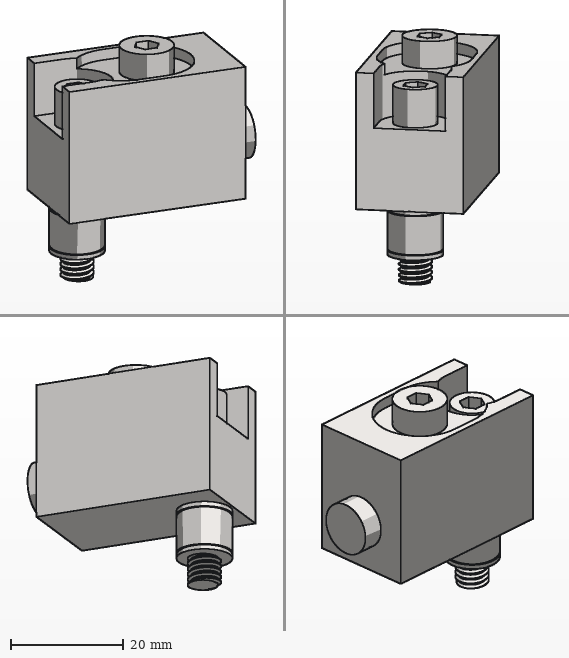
import cadquery as cq

total_height = 42.0

block_width = 19.5
block_length = 34.0
block_height = 25.0

slot_width = 17.0
slot_depth = 2.0
slot_straight = 5.0
clamp_y = 19.0
clamp_head_diameter = 9.8
clamp_head_rise = 3.0

notch_width = 13.0
notch_depth = 10.0
notch_bottom = block_height - notch_depth
mount_y = 5.55
mount_head_diameter = 8.0
mount_head_height = 6.97

socket_across_corners = 4.6
socket_depth = 4.0

boss_diameter = 9.75
boss_length = 4.0
boss_z = 9.05

sleeve_diameter = 10.0
sleeve_length = 9.0
groove_diameter = 9.75
groove_width = 0.13
groove_inset = 0.85

thread_length = total_height - clamp_head_rise - block_height - sleeve_length
thread_major_diameter = 6.0
thread_minor_diameter = 4.87
thread_pitch = 1.0
thread_root_width = 0.92
thread_crest_width = 0.1
thread_crest_height = 0.7
thread_overlap = 0.1


def cylinder(y, bottom, diameter, height):
    """Vertical cylinder on the middle plane of the block."""
    return cq.Workplane("XY", origin=(0, y, bottom)).circle(diameter / 2).extrude(height)


def screw_head(y, bottom, top, diameter):
    """Cylindrical head with a hexagon socket whose corners point along Y."""
    socket = (
        cq.Workplane("XY", origin=(0, y, top))
        .transformed(rotate=(0, 0, 90))
        .polygon(6, socket_across_corners)
        .extrude(-socket_depth)
    )
    return cylinder(y, bottom, diameter, top - bottom).cut(socket)


def make_block():
    """Block with a slot in the top, a notch in the front and the back boss."""
    block = cq.Workplane("XY").box(
        block_width, block_length, block_height, centered=(True, False, False)
    )
    slot = (
        cq.Workplane("XY", origin=(0, clamp_y - slot_straight / 2, block_height))
        .slot2D(slot_width + slot_straight, slot_width, 90)
        .extrude(-slot_depth)
    )
    notch_end = cylinder(mount_y, notch_bottom, notch_width, notch_depth)
    notch_mouth = cq.Workplane("XY", origin=(0, 0, notch_bottom)).box(
        notch_width, mount_y, notch_depth, centered=(True, False, False)
    )
    boss = (
        cq.Workplane("XZ", origin=(0, block_length, boss_z))
        .circle(boss_diameter / 2)
        .extrude(-boss_length)
    )
    return block.cut(slot).cut(notch_end).cut(notch_mouth).union(boss)


def make_sleeve():
    """Guide sleeve with its two grooves."""
    sleeve = cylinder(mount_y, -sleeve_length, sleeve_diameter, sleeve_length)
    core = cylinder(mount_y, -sleeve_length, groove_diameter, sleeve_length)
    for groove_bottom in (-sleeve_length + groove_inset, -groove_inset - groove_width):
        ring = cylinder(mount_y, groove_bottom, sleeve_diameter, groove_width).cut(core)
        sleeve = sleeve.cut(ring)
    return sleeve


def make_thread():
    """Core with a helical ridge, trimmed flat at both ends."""
    major_radius = thread_major_diameter / 2
    root_radius = thread_minor_diameter / 2 - thread_overlap
    start = thread_crest_height - 2 * thread_pitch
    helix_height = thread_length + 4 * thread_pitch
    helix = cq.Wire.makeHelix(
        thread_pitch, helix_height, root_radius, center=cq.Vector(0, 0, start)
    )
    ridge = (
        cq.Workplane("XZ")
        .polyline([
            (root_radius, start - thread_root_width / 2),
            (major_radius, start - thread_crest_width / 2),
            (major_radius, start + thread_crest_width / 2),
            (root_radius, start + thread_root_width / 2),
        ])
        .close()
        .sweep(cq.Workplane(obj=helix), isFrenet=True)
    )
    envelope = cylinder(0, 0, sleeve_diameter, thread_length)
    core = cylinder(0, 0, thread_minor_diameter, thread_length)
    thread = core.union(ridge.intersect(envelope))
    return thread.translate((0, mount_y, -sleeve_length - thread_length))


clamp_head = screw_head(
    clamp_y, block_height - slot_depth, block_height + clamp_head_rise, clamp_head_diameter
)
mount_head = screw_head(
    mount_y, notch_bottom, notch_bottom + mount_head_height, mount_head_diameter
)

result = make_block().union(clamp_head).union(mount_head).union(make_sleeve()).union(make_thread())